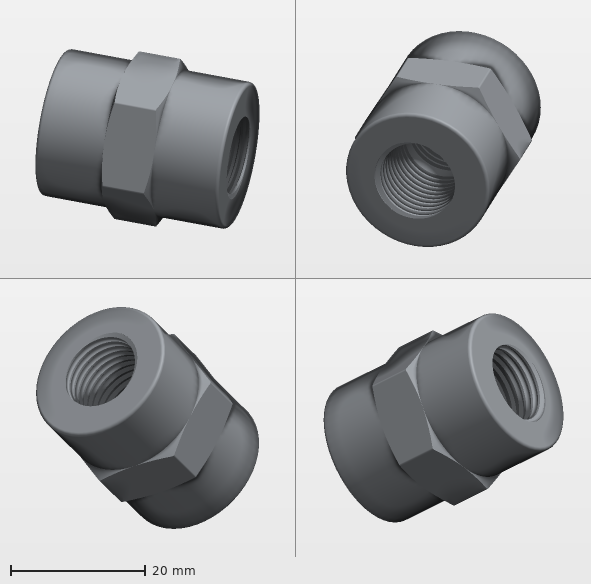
import cadquery as cq
import math

body_length = 28.45
body_diameter = 22.22
end_fillet = 0.5

hex_width = 7.8
hex_corner_fillet = 0.35
hex_chamfer_length = 0.7
hex_corner_radius = body_diameter / 2 / math.cos(math.radians(30))

bore_diameter = 11.75
thread_diameter = 13.15
thread_pitch = 1.35
thread_turns = 10
groove_mouth_width = 0.97
groove_root_width = 0.45
groove_overlap = 0.09


def make_body():
    """Round sleeve with rounded outer ends."""
    sleeve = cq.Workplane("YZ").circle(body_diameter / 2).extrude(body_length / 2, both=True)
    return sleeve.edges("%CIRCLE").fillet(end_fillet)


def make_hexagon():
    """Hexagon with corners on Y, rounded edges and conical end chamfers."""
    prism = (
        cq.Workplane("YZ")
        .polygon(6, 2 * hex_corner_radius)
        .extrude(hex_width / 2, both=True)
        .edges("|X")
        .fillet(hex_corner_fillet)
    )
    half_width = hex_width / 2
    shoulder = half_width - hex_chamfer_length
    envelope = (
        cq.Workplane("XY")
        .moveTo(-half_width, 0)
        .lineTo(-half_width, body_diameter / 2)
        .lineTo(-shoulder, hex_corner_radius)
        .lineTo(shoulder, hex_corner_radius)
        .lineTo(half_width, body_diameter / 2)
        .lineTo(half_width, 0)
        .close()
        .revolve(360, (0, 0, 0), (1, 0, 0))
    )
    return prism.intersect(envelope)


def make_thread_groove():
    """Helical cutter for the -X end, starting one turn outside and centred on -Y at the face."""
    inner_radius = bore_diameter / 2 - groove_overlap
    outer_radius = thread_diameter / 2
    turns = thread_turns + 1
    flank_slope = (groove_mouth_width - groove_root_width) / (thread_diameter - bore_diameter)
    half_inner = groove_mouth_width / 2 + groove_overlap * flank_slope
    half_root = groove_root_width / 2
    helix = cq.Wire.makeHelix(thread_pitch, turns * thread_pitch, inner_radius)
    groove = (
        cq.Workplane("XZ")
        .polyline([
            (inner_radius, -half_inner),
            (outer_radius, -half_root),
            (outer_radius, half_root),
            (inner_radius, half_inner),
        ])
        .close()
        .sweep(cq.Workplane(helix), isFrenet=True)
    )
    return (
        groove
        .rotate((0, 0, 0), (0, 0, 1), -90)
        .rotate((0, 0, 0), (0, 1, 0), 90)
        .translate((-body_length / 2 - thread_pitch, 0, 0))
    )


bore = cq.Workplane("YZ").circle(bore_diameter / 2).extrude(body_length / 2, both=True)

left_groove = make_thread_groove()
right_groove = left_groove.rotate((0, 0, 0), (0, 1, 0), 180)

result = make_body().union(make_hexagon()).cut(bore).cut(left_groove).cut(right_groove)